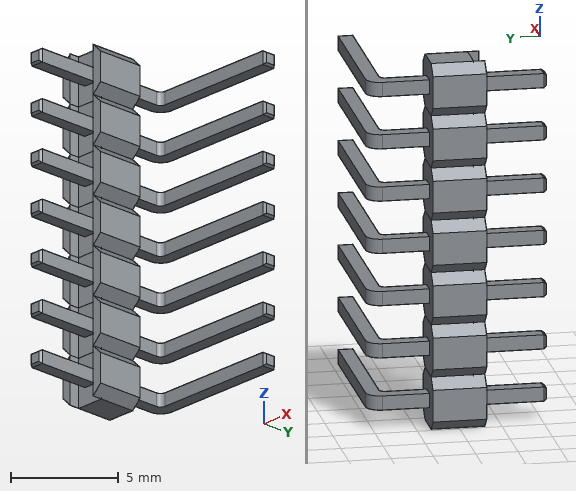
import cadquery as cq


row_length = 17.78
unit_count = 7
pitch = row_length / unit_count

housing_size = pitch
corner_chamfer = 0.5
channel_width = housing_size - 2 * corner_chamfer
channel_depth = 0.53

overall_width = 8.62
overall_depth = 8.45
pin_thickness = 0.7
front_reach = 3.0
bend_inner_radius = 0.28
bend_outer_radius = 0.7
tip_length = 0.15
tip_inset = 0.09

half_pin = pin_thickness / 2
front_shaft_y = tip_length - front_reach
arm_back_y = overall_depth - front_reach
arm_front_y = arm_back_y - pin_thickness
arm_shaft_x = overall_width - housing_size / 2 - tip_length
tip_thickness = pin_thickness - 2 * tip_inset


def make_housing():
    """Block with chamfered edges along Y and a channel across its front face."""
    block = (
        cq.Workplane("XY")
        .box(housing_size, housing_size, housing_size, centered=(True, False, True))
        .edges("|Y")
        .chamfer(corner_chamfer)
    )
    channel = cq.Workplane("XY").box(
        channel_width, channel_depth, housing_size, centered=(True, False, True)
    )
    return block.cut(channel)


def make_pin():
    """Square L-shaped pin with a rounded bend and a tapered tip at each end."""
    pin = (
        cq.Workplane("XY")
        .workplane(offset=-half_pin)
        .moveTo(-half_pin, front_shaft_y)
        .lineTo(half_pin, front_shaft_y)
        .lineTo(half_pin, arm_front_y)
        .lineTo(arm_shaft_x, arm_front_y)
        .lineTo(arm_shaft_x, arm_back_y)
        .lineTo(-half_pin, arm_back_y)
        .close()
        .extrude(pin_thickness)
    )
    inner_corner = cq.NearestToPointSelector((half_pin, arm_front_y, 0))
    outer_corner = cq.NearestToPointSelector((-half_pin, arm_back_y, 0))
    pin = pin.edges("|Z").edges(inner_corner).fillet(bend_inner_radius)
    pin = pin.edges("|Z").edges(outer_corner).fillet(bend_outer_radius)
    for end_face in ("<Y", ">X"):
        pin = (
            pin.faces(end_face)
            .workplane(centerOption="CenterOfMass")
            .rect(pin_thickness, pin_thickness)
            .workplane(offset=tip_length)
            .rect(tip_thickness, tip_thickness)
            .loft(ruled=True, combine=True)
        )
    return pin


def make_unit():
    """One housing block and its pin as a single solid."""
    return make_housing().union(make_pin()).solids()


unit = make_unit()
lowest_unit_z = (pitch - row_length) / 2
units = [
    unit.translate((0, 0, lowest_unit_z + index * pitch)).val()
    for index in range(unit_count)
]

result = cq.Compound.makeCompound(units)